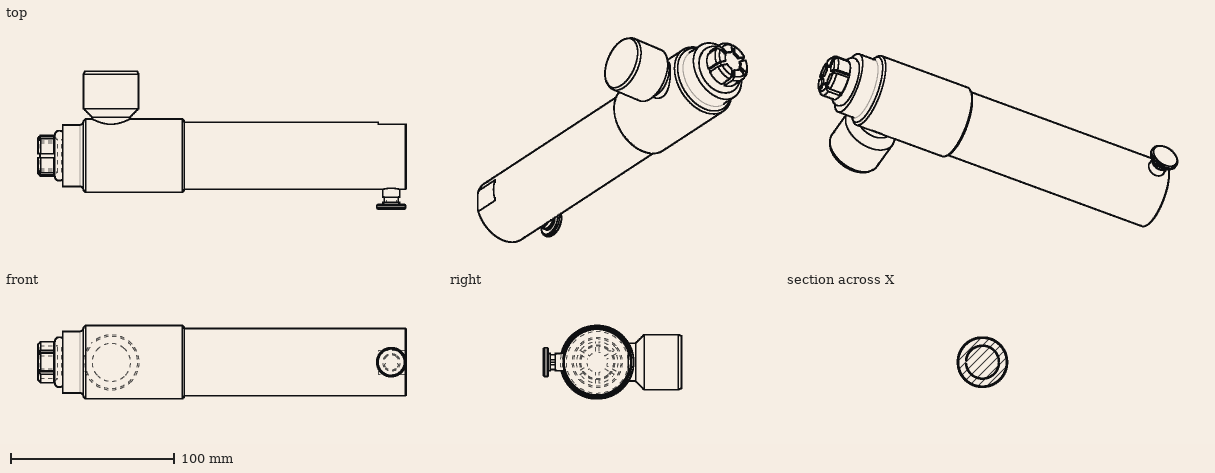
import cadquery as cq
import math


NOSE_DIAMETER = 25.4
NOSE_LENGTH = 9.9
NOSE_CHAMFER = 1.9
RECESS_DIAMETER = 12.42
RECESS_DEPTH = 1.3
SLOT_COUNT = 6
SLOT_WIDTH = 2.25
SLOT_FLOOR_RADIUS = 10.0

RING_STATION = 13.25
RING_DIAMETER = 30.8
RING_THICKNESS = 5.7

COLLAR_START = 15.3
COLLAR_END = 25.7
COLLAR_DIAMETER = 37.87
BODY_DIAMETER = 45.09
BODY_FRONT_CHAMFER = 1.4
BODY_END = 89.6
BODY_REAR_CHAMFER = 1.1

BARREL_DIAMETER = 41.27
BARREL_END = 225.71
BARREL_CHAMFER = 0.5
FLAT_START = 208.6
FLAT_DEPTH = 1.36

PORT_STATION = 44.9
PORT_DIAMETER = 33.9
PORT_NECK_DIAMETER = 23.37
PORT_END = 51.8
PORT_LENGTH = 22.9
PORT_CHAMFER_LENGTH = 1.9
PORT_CHAMFER_DROP = 0.9

OVERALL_WIDTH = 84.57
PIN_STATION = 216.5
PIN_REACH = OVERALL_WIDTH - PORT_END
STEM_DIAMETER = 10.67
STEM_END = 25.4
PIN_NECK_DIAMETER = 9.27
NOTCH_ROOT_DIAMETER = 6.15
NOTCH_HALF_HEIGHT = 1.9
FLANGE_START = 28.6
HEAD_DIAMETER = 17.78
HEAD_THICKNESS = 3.05
HEAD_CHAMFER = 0.8


def make_main_body():
    """Revolve the nose core, collar, body and barrel about X."""
    collar_radius = COLLAR_DIAMETER / 2
    body_radius = BODY_DIAMETER / 2
    barrel_radius = BARREL_DIAMETER / 2
    shoulder_radius = body_radius - BODY_FRONT_CHAMFER
    shoulder_fillet = shoulder_radius - collar_radius
    shoulder = COLLAR_END + shoulder_fillet
    fillet_offset = shoulder_fillet * math.sin(math.radians(45))
    fillet_middle = (
        COLLAR_END + fillet_offset,
        shoulder_radius - fillet_offset,
    )

    profile = (
        cq.Workplane("XY")
        .moveTo(RECESS_DEPTH, 0)
        .lineTo(RECESS_DEPTH, SLOT_FLOOR_RADIUS)
        .lineTo(COLLAR_START, SLOT_FLOOR_RADIUS)
        .lineTo(COLLAR_START, collar_radius)
        .lineTo(COLLAR_END, collar_radius)
        .threePointArc(fillet_middle, (shoulder, shoulder_radius))
        .lineTo(shoulder + BODY_FRONT_CHAMFER, body_radius)
        .lineTo(BODY_END - BODY_REAR_CHAMFER, body_radius)
        .lineTo(BODY_END, body_radius - BODY_REAR_CHAMFER)
        .lineTo(BODY_END, barrel_radius)
        .lineTo(BARREL_END - BARREL_CHAMFER, barrel_radius)
        .lineTo(BARREL_END, barrel_radius - BARREL_CHAMFER)
        .lineTo(BARREL_END, 0)
        .close()
    )
    return profile.revolve(360, (0, 0, 0), (1, 0, 0))


def make_nose_sectors():
    """Make the chamfered nose sleeve, recessed at its tip and split by the slots."""
    tip_radius = NOSE_DIAMETER / 2 - NOSE_CHAMFER
    sleeve = (
        cq.Workplane("XY")
        .lineTo(0, tip_radius)
        .lineTo(NOSE_CHAMFER, NOSE_DIAMETER / 2)
        .lineTo(NOSE_LENGTH, NOSE_DIAMETER / 2)
        .lineTo(NOSE_LENGTH, 0)
        .close()
        .revolve(360, (0, 0, 0), (1, 0, 0))
    )
    recess = cq.Workplane("YZ").circle(RECESS_DIAMETER / 2).extrude(RECESS_DEPTH)
    sectors = sleeve.cut(recess)
    slot = cq.Workplane("XY").box(
        NOSE_LENGTH,
        SLOT_WIDTH,
        NOSE_DIAMETER / 2,
        centered=(False, True, False),
    )
    for index in range(SLOT_COUNT):
        angle = index * 360 / SLOT_COUNT
        sectors = sectors.cut(slot.rotate((0, 0, 0), (1, 0, 0), angle))
    return sectors


def make_ring():
    """Make the round-section ring seated against the front of the collar."""
    section_radius = RING_THICKNESS / 2
    return (
        cq.Workplane("XY")
        .moveTo(RING_STATION, RING_DIAMETER / 2 - section_radius)
        .circle(section_radius)
        .revolve(360, (0, 0, 0), (1, 0, 0))
    )


def make_flat_cutter():
    """Make the block that planes the flat on the rear of the barrel."""
    flat_face = BARREL_DIAMETER / 2 - FLAT_DEPTH
    block = cq.Workplane("XY").box(
        BARREL_END - FLAT_START,
        FLAT_DEPTH,
        BARREL_DIAMETER,
        centered=(False, False, True),
    )
    return block.translate((FLAT_START, flat_face, 0))


def make_port():
    """Revolve the side port about its own Y axis."""
    radius = PORT_DIAMETER / 2
    neck_radius = PORT_NECK_DIAMETER / 2
    cone_start = PORT_END - PORT_LENGTH
    cone_end = cone_start - (radius - neck_radius)
    profile = (
        cq.Workplane("XY")
        .lineTo(neck_radius, 0)
        .lineTo(neck_radius, cone_end)
        .lineTo(radius, cone_start)
        .lineTo(radius, PORT_END - PORT_CHAMFER_LENGTH)
        .lineTo(radius - PORT_CHAMFER_DROP, PORT_END)
        .lineTo(0, PORT_END)
        .close()
    )
    return profile.revolve(360, (0, 0, 0), (0, 1, 0)).translate((PORT_STATION, 0, 0))


def make_notch_cutter(side):
    """Make the V-shaped cutter for one side of the pin neck."""
    root = side * NOTCH_ROOT_DIAMETER / 2
    mouth = side * PIN_NECK_DIAMETER / 2
    return (
        cq.Workplane("XZ", origin=(PIN_STATION, -STEM_END, 0))
        .moveTo(root, 0)
        .lineTo(mouth, NOTCH_HALF_HEIGHT)
        .lineTo(mouth, -NOTCH_HALF_HEIGHT)
        .close()
        .extrude(FLANGE_START - STEM_END)
    )


def make_pin():
    """Revolve the plunger pin about its own Y axis and notch both sides of its neck."""
    stem_radius = STEM_DIAMETER / 2
    neck_radius = PIN_NECK_DIAMETER / 2
    head_radius = HEAD_DIAMETER / 2
    head_start = PIN_REACH - HEAD_THICKNESS
    profile = (
        cq.Workplane("XY")
        .lineTo(stem_radius, 0)
        .lineTo(stem_radius, -STEM_END)
        .lineTo(neck_radius, -STEM_END)
        .lineTo(neck_radius, -FLANGE_START)
        .lineTo(stem_radius, -FLANGE_START)
        .lineTo(stem_radius, -head_start)
        .lineTo(head_radius - HEAD_CHAMFER, -head_start)
        .lineTo(head_radius, -head_start - HEAD_CHAMFER)
        .lineTo(head_radius, -PIN_REACH + HEAD_CHAMFER)
        .lineTo(head_radius - HEAD_CHAMFER, -PIN_REACH)
        .lineTo(0, -PIN_REACH)
        .close()
    )
    pin = profile.revolve(360, (0, 0, 0), (0, 1, 0)).translate((PIN_STATION, 0, 0))
    for side in (-1, 1):
        pin = pin.cut(make_notch_cutter(side))
    return pin


result = (
    make_main_body()
    .cut(make_flat_cutter())
    .union(make_nose_sectors())
    .union(make_ring())
    .union(make_port())
    .union(make_pin())
)